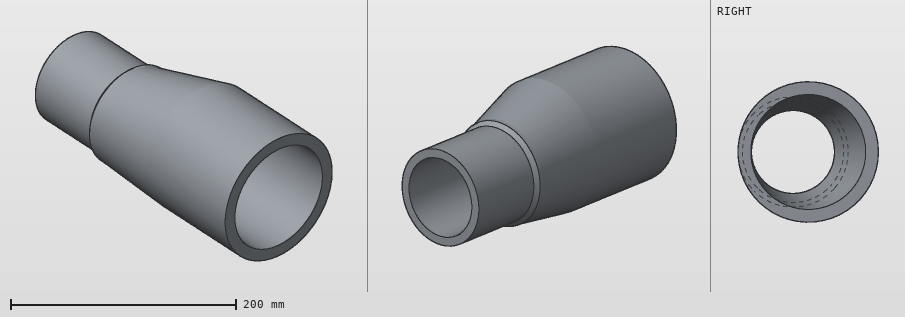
import cadquery as cq

total_length = 265.0
large_diameter = 125.0
large_wall = 11.4
small_diameter = 90.0
small_wall = 8.2
small_length = 75.0

shoulder_diameter = 98.0
shoulder_height = (shoulder_diameter - small_diameter) / 2
shoulder_chamfer_length = shoulder_height
shoulder_length = 4.5
cone_length = 75.0

small_axis_y = -(large_diameter - shoulder_diameter) / 2
large_axis_y = 0.0

shoulder_start = small_length + shoulder_chamfer_length
cone_start = shoulder_start + shoulder_length
cone_end = cone_start + cone_length


def tapered_solid(start, end, start_diameter, end_diameter, start_y, end_y):
    """Solid between two circles normal to X, which may differ in size and centre."""
    return (
        cq.Workplane("YZ", origin=(start, start_y, 0))
        .circle(start_diameter / 2)
        .workplane(offset=end - start)
        .center(end_y - start_y, 0)
        .circle(end_diameter / 2)
        .loft(ruled=True)
    )


def cylinder(start, end, diameter, axis_y):
    """Solid cylinder parallel to X."""
    return cq.Workplane("YZ", origin=(start, axis_y, 0)).circle(diameter / 2).extrude(end - start)


def outer_body():
    small_spigot = cylinder(0, small_length, small_diameter, small_axis_y)
    chamfer = tapered_solid(
        small_length, shoulder_start, small_diameter, shoulder_diameter, small_axis_y, small_axis_y
    )
    shoulder = cylinder(shoulder_start, cone_start, shoulder_diameter, small_axis_y)
    cone = tapered_solid(
        cone_start, cone_end, shoulder_diameter, large_diameter, small_axis_y, large_axis_y
    )
    large_spigot = cylinder(cone_end, total_length, large_diameter, large_axis_y)
    return small_spigot.union(chamfer).union(shoulder).union(cone).union(large_spigot)


def bore():
    """Flow passage: a straight run at each end, joined by an eccentric cone."""
    small_bore = small_diameter - 2 * small_wall
    large_bore = large_diameter - 2 * large_wall
    inlet = cylinder(0, cone_start, small_bore, small_axis_y)
    transition = tapered_solid(cone_start, cone_end, small_bore, large_bore, small_axis_y, large_axis_y)
    outlet = cylinder(cone_end, total_length, large_bore, large_axis_y)
    return inlet.union(transition).union(outlet)


result = outer_body().cut(bore())